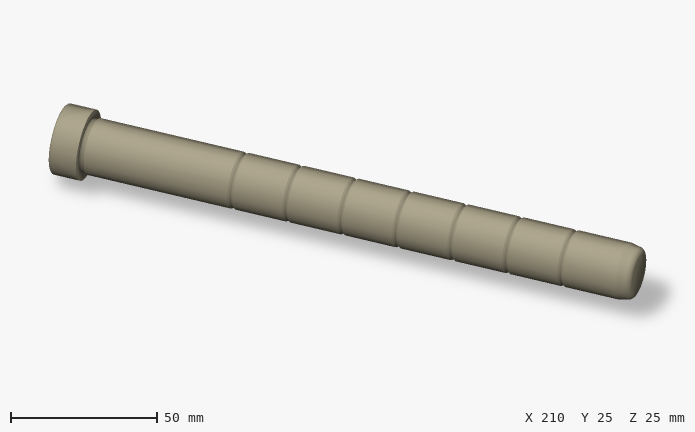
import cadquery as cq
import math

length = 210.0
head_diameter = 25.0
shaft_diameter = 20.0
head_length = 10.0
head_chamfer = 0.5

relief_width = 1.9
relief_depth = 0.52

groove_count = 7
first_groove_x = 65.0
last_groove_x = 185.0
groove_width = 2.0
groove_depth = 0.6

taper_length = 5.0
taper_drop = 1.0
tip_round = 2.0

mouth_diameter = 4.2
pilot_diameter = 2.0
pilot_length = 2.0
countersink_angle = 60
drill_point_angle = 118

head_radius = head_diameter / 2
shaft_radius = shaft_diameter / 2
groove_pitch = (last_groove_x - first_groove_x) / (groove_count - 1)


def revolve_about_x(profile):
    """Close a half profile drawn in the XY plane and spin it about the pin axis."""
    return profile.close().revolve(360, (0, 0, 0), (1, 0, 0))


def cone_length(radius_change, full_angle):
    """Axial length of a cone with the given full angle and change of radius."""
    return radius_change / math.tan(math.radians(full_angle / 2))


def make_body():
    """Head, relief, shaft and tapered tip as one turned solid."""
    relief_radius = shaft_radius - relief_depth
    relief_end = head_length + relief_width
    profile = (
        cq.Workplane("XY")
        .lineTo(0, head_radius - head_chamfer)
        .lineTo(head_chamfer, head_radius)
        .lineTo(head_length, head_radius)
        .lineTo(head_length, relief_radius)
        .lineTo(relief_end, relief_radius)
        .lineTo(relief_end, shaft_radius)
        .lineTo(length - taper_length, shaft_radius)
        .lineTo(length, shaft_radius - taper_drop)
        .lineTo(length, 0)
    )
    return revolve_about_x(profile).faces(">X").edges().fillet(tip_round)


def make_groove(center_x):
    """Cutter for one V groove; its sides run straight out past the shaft surface."""
    half_width = groove_width / 2
    profile = (
        cq.Workplane("XY")
        .moveTo(center_x - half_width, shaft_radius)
        .lineTo(center_x, shaft_radius - groove_depth)
        .lineTo(center_x + half_width, shaft_radius)
        .lineTo(center_x + half_width, head_radius)
        .lineTo(center_x - half_width, head_radius)
    )
    return revolve_about_x(profile)


def make_center_drilling():
    """Cutter with a conical mouth, a small pilot bore and a drill point."""
    mouth_radius = mouth_diameter / 2
    pilot_radius = pilot_diameter / 2
    pilot_start = cone_length(mouth_radius - pilot_radius, countersink_angle)
    pilot_end = pilot_start + pilot_length
    profile = (
        cq.Workplane("XY")
        .lineTo(0, mouth_radius)
        .lineTo(pilot_start, pilot_radius)
        .lineTo(pilot_end, pilot_radius)
        .lineTo(pilot_end + cone_length(pilot_radius, drill_point_angle), 0)
    )
    return revolve_about_x(profile)


result = make_body().cut(make_center_drilling())
for index in range(groove_count):
    result = result.cut(make_groove(first_groove_x + index * groove_pitch))